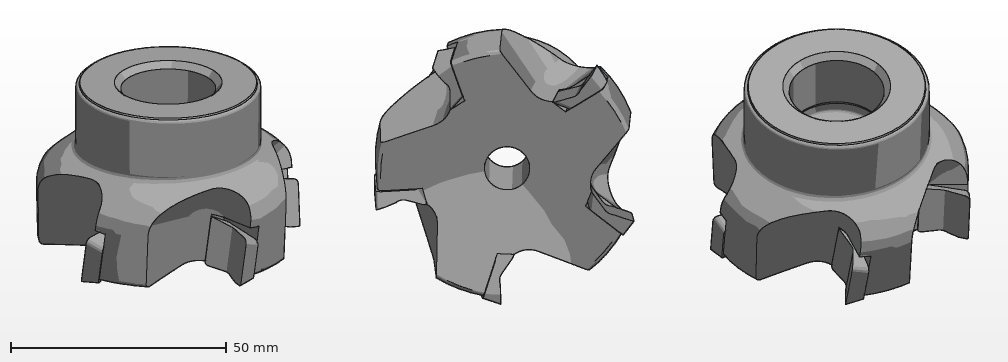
import cadquery as cq
import math

TEETH = 5
FIRST_TOOTH_ANGLE = 36.0
TOOTH_PITCH = 360.0 / TEETH
TOP_Z = 40.0

HUB_RADIUS = 43.0 / 2
HUB_FACE_RADIUS = 41.0 / 2
HUB_FACE_STEP = 0.4
HUB_EDGE_RADIUS = 0.8
HUB_BASE_Z = 25.4

SHOULDER_TOP = (22.55, 23.45)
SHOULDER_MIDDLE = (28.8, 19.5)
SHOULDER_BOTTOM_Z = 14.85

RIM_RADIUS = 30.6
RIM_FOOT_RADIUS = 30.35
RIM_TAPER_TOP_Z = 13.9
BASE_Z = 1.0
BASE_EDGE_RADIUS = 1.0
DISH_ANGLE = 11.0

SCREW_HOLE_RADIUS = 10.5 / 2
BORE_RADIUS = 22.05 / 2
BORE_RELIEF_RADIUS = 22.5 / 2
BORE_RELIEF_TOP_Z = 25.9
BORE_RELIEF_RUNOUT = 0.6
BORE_FLOOR_Z = 22.65
BORE_FLOOR_FILLET = 0.75
BORE_CHAMFER = 1.5

AXIAL_RAKE = 8.5

GULLET_TURN = 17.0
GULLET_CORNER = (17.25, -2.8)
GULLET_ROOT_RADIUS = 5.9
GULLET_WALL_LENGTH = 24.8
GULLET_REACH = 37.25
GULLET_BELOW = 6.2
GULLET_BEND_START = 11.5
GULLET_BEND_RADIUS = 13.65
GULLET_BEND_ANGLE = 63.0

TIP_RADIUS = 31.55
INSERT_INNER_X = 20.0
INSERT_FRONT_Y = -2.85
CHIP_BREAKER_INNER = (24.3, -0.05)
CHIP_BREAKER_OUTER = (26.7, 0.25)
INSERT_BACK_Y = 4.5
INSERT_EDGE_HEIGHT = 11.5
INSERT_WIPER_LENGTH = 2.5
INSERT_TOP_SLOPE = 5.5
INSERT_BOTTOM_SLOPE = 13.5
INSERT_TIP_CORNER_RADIUS = 0.5
INSERT_OUTER_CORNER_RADIUS = 1.5
INSERT_INNER_CORNER_RADIUS = 1.1
INSERT_RELIEF = 15.0
INSERT_MARGIN = 6.2
SEAT_TOP = 14.0


def make_body_blank():
    """Turned blank with its bore, before the gullets and seats are cut."""
    foot_radius = RIM_FOOT_RADIUS - BASE_EDGE_RADIUS
    dish_height = (foot_radius - SCREW_HOLE_RADIUS) * math.tan(math.radians(DISH_ANGLE))
    base_arc_inset = BASE_EDGE_RADIUS * (1 - math.sqrt(0.5))
    hub_arc_inset = HUB_EDGE_RADIUS * (1 - math.sqrt(0.5))
    hub_edge_z = TOP_Z - HUB_FACE_STEP
    blank = (
        cq.Workplane("XZ")
        .moveTo(SCREW_HOLE_RADIUS, BASE_Z + dish_height)
        .lineTo(foot_radius, BASE_Z)
        .threePointArc(
            (RIM_FOOT_RADIUS - base_arc_inset, BASE_Z + base_arc_inset),
            (RIM_FOOT_RADIUS, BASE_Z + BASE_EDGE_RADIUS),
        )
        .lineTo(RIM_RADIUS, RIM_TAPER_TOP_Z)
        .lineTo(RIM_RADIUS, SHOULDER_BOTTOM_Z)
        .tangentArcPoint(SHOULDER_MIDDLE, relative=False)
        .tangentArcPoint(SHOULDER_TOP, relative=False)
        .tangentArcPoint((HUB_RADIUS, HUB_BASE_Z), relative=False)
        .lineTo(HUB_RADIUS, hub_edge_z - HUB_EDGE_RADIUS)
        .threePointArc(
            (HUB_RADIUS - hub_arc_inset, hub_edge_z - hub_arc_inset),
            (HUB_RADIUS - HUB_EDGE_RADIUS, hub_edge_z),
        )
        .lineTo(HUB_FACE_RADIUS, TOP_Z)
        .lineTo(SCREW_HOLE_RADIUS, TOP_Z)
        .close()
        .revolve(360, (0, 0, 0), (0, 1, 0))
    )
    return blank.cut(make_bore())


def make_bore():
    """Void of the hub bore: entry chamfer, straight bore, wider relief and rounded floor corner."""
    bore = (
        cq.Workplane("XZ")
        .moveTo(0, BORE_FLOOR_Z)
        .lineTo(BORE_RELIEF_RADIUS, BORE_FLOOR_Z)
        .lineTo(BORE_RELIEF_RADIUS, BORE_RELIEF_TOP_Z - BORE_RELIEF_RUNOUT)
        .lineTo(BORE_RADIUS, BORE_RELIEF_TOP_Z)
        .lineTo(BORE_RADIUS, TOP_Z - BORE_CHAMFER)
        .lineTo(BORE_RADIUS + BORE_CHAMFER, TOP_Z)
        .lineTo(0, TOP_Z)
        .close()
        .revolve(360, (0, 0, 0), (0, 1, 0))
    )
    return bore.faces("<Z").edges().fillet(BORE_FLOOR_FILLET)


def lean(shape):
    """Tilt a shape about the tooth's radial axis by the axial rake."""
    return shape.rotate((0, 0, 0), (1, 0, 0), -AXIAL_RAKE)


def place_at_tooth(shape, index):
    return shape.rotate((0, 0, 0), (0, 0, 1), FIRST_TOOTH_ANGLE + index * TOOTH_PITCH)


def make_gullet():
    """Void of one gullet: its root runs straight up, bends outward, then leaves in a line."""
    bend = math.radians(GULLET_BEND_ANGLE)

    def bend_point(angle):
        return (
            GULLET_BEND_RADIUS * (1 - math.cos(angle)),
            GULLET_BEND_START + GULLET_BEND_RADIUS * math.sin(angle),
        )

    bend_end = bend_point(bend)
    exit_height = bend_end[1] + (GULLET_REACH - bend_end[0]) / math.tan(bend)
    void = (
        cq.Workplane("XZ")
        .moveTo(0, -GULLET_BELOW)
        .lineTo(0, GULLET_BEND_START)
        .threePointArc(bend_point(bend / 2), bend_end)
        .lineTo(GULLET_REACH, exit_height)
        .lineTo(GULLET_REACH, -GULLET_BELOW)
        .close()
        .extrude(GULLET_WALL_LENGTH)
    )
    seat_wall_root = cq.selectors.BoxSelector(
        (-0.6, -0.6, 0), (GULLET_REACH - 0.6, 0.6, exit_height), boundingbox=False
    )
    void = void.edges(seat_wall_root).fillet(GULLET_ROOT_RADIUS)
    turned = void.rotate((0, 0, 0), (0, 0, 1), GULLET_TURN)
    return lean(turned).translate((GULLET_CORNER[0], GULLET_CORNER[1], 0))


def seat_back_y(x):
    """Y of the seat's back wall, parallel to the gullet's seat wall in the tooth's frame."""
    return INSERT_BACK_Y - (TIP_RADIUS - x) * math.tan(math.radians(GULLET_TURN))


def make_insert_seat():
    """Void of one insert seat, open to the front, the outside and below."""
    outer_x = TIP_RADIUS + INSERT_MARGIN
    seat = (
        cq.Workplane("XY")
        .workplane(offset=-INSERT_MARGIN)
        .moveTo(INSERT_INNER_X, INSERT_FRONT_Y)
        .lineTo(INSERT_INNER_X, seat_back_y(INSERT_INNER_X))
        .lineTo(outer_x, seat_back_y(outer_x))
        .lineTo(outer_x, INSERT_FRONT_Y)
        .close()
        .extrude(SEAT_TOP + INSERT_MARGIN)
    )
    return lean(seat)


def make_insert():
    """One insert: rake-face section along Z, bounded by edges that all have relief."""
    outer_x = TIP_RADIUS + INSERT_MARGIN
    section = (
        cq.Workplane("XY")
        .workplane(offset=-INSERT_MARGIN)
        .moveTo(INSERT_INNER_X, INSERT_FRONT_Y)
        .lineTo(*CHIP_BREAKER_INNER)
        .tangentArcPoint(CHIP_BREAKER_OUTER, relative=False)
        .lineTo(TIP_RADIUS, 0)
        .lineTo(outer_x, 0)
        .lineTo(outer_x, seat_back_y(outer_x))
        .lineTo(INSERT_INNER_X, seat_back_y(INSERT_INNER_X))
        .close()
        .extrude(SEAT_TOP + 2 * INSERT_MARGIN)
    )
    top_slope = math.tan(math.radians(INSERT_TOP_SLOPE))
    bottom_slope = math.tan(math.radians(INSERT_BOTTOM_SLOPE))
    growth = -INSERT_FRONT_Y * math.tan(math.radians(INSERT_RELIEF))
    edge_x = TIP_RADIUS + growth
    wiper_end_x = TIP_RADIUS - INSERT_WIPER_LENGTH
    inner_bottom_z = (wiper_end_x - INSERT_INNER_X) * bottom_slope - growth
    outer_top_z = INSERT_EDGE_HEIGHT + growth
    inner_top_z = outer_top_z + (edge_x - INSERT_INNER_X) * top_slope
    plate = (
        cq.Workplane("XZ", origin=(0, INSERT_FRONT_Y, 0))
        .moveTo(edge_x, -growth)
        .lineTo(wiper_end_x, -growth)
        .lineTo(INSERT_INNER_X, inner_bottom_z)
        .lineTo(INSERT_INNER_X, inner_top_z)
        .lineTo(edge_x, outer_top_z)
        .close()
        .extrude(INSERT_FRONT_Y - INSERT_MARGIN, taper=INSERT_RELIEF)
    )
    rounded_corners = [
        ((edge_x, -growth), INSERT_TIP_CORNER_RADIUS),
        ((edge_x, outer_top_z), INSERT_OUTER_CORNER_RADIUS),
        ((INSERT_INNER_X, inner_bottom_z), INSERT_INNER_CORNER_RADIUS),
    ]
    for (corner_x, corner_z), radius in rounded_corners:
        front_corner = (corner_x, INSERT_FRONT_Y, corner_z)
        side_edges = plate.edges("not(#Y)")
        plate = side_edges.edges(cq.selectors.NearestToPointSelector(front_corner)).fillet(radius)
    return lean(section.intersect(plate))


body = make_body_blank()
inserts = []
for tooth in range(TEETH):
    body = body.cut(place_at_tooth(make_gullet(), tooth))
    body = body.cut(place_at_tooth(make_insert_seat(), tooth))
    inserts.append(place_at_tooth(make_insert(), tooth))

result = cq.Compound.makeCompound([body.val(), *[insert.val() for insert in inserts]])